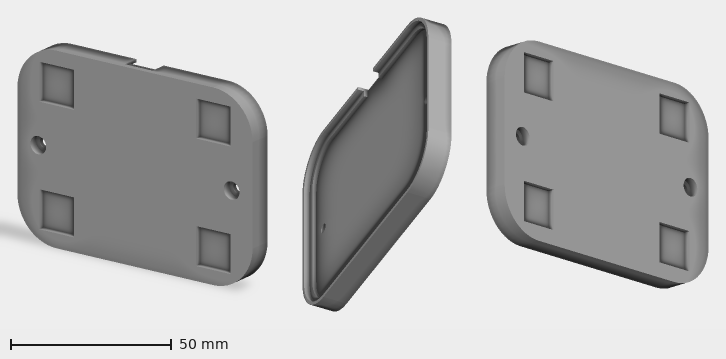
import cadquery as cq

width = 90.0
height = 65.0
thickness = 8.0
corner_radius = 15.0

rim_wall = 1.1
rim_floor_y = 6.0
inner_wall = 3.0
inner_floor_y = 4.7

notch_width = 10.5
notch_front_y = 2.0
notch_depth = 0.5

pocket_size = 13.1
pocket_depth = 2.2
pocket_spacing_x = 59.9
pocket_spacing_z = 41.9

hole_spacing = 74.0
hole_diameter = 3.2
counterbore_diameter = 6.0
counterbore_depth = 3.0


def rounded_block(inset, start_y):
    """Rounded rectangle inset from the plate outline, from start_y to the back."""
    return (
        cq.Workplane("XY")
        .box(width - 2 * inset, thickness - start_y, height - 2 * inset, centered=(True, False, True))
        .translate((0, start_y, 0))
        .edges("|Y")
        .fillet(corner_radius - inset)
    )


def notch(start_y, depth):
    """Cut through the top edge from start_y to the back."""
    return (
        cq.Workplane("XY")
        .box(notch_width, thickness - start_y, depth, centered=(True, False, False))
        .translate((0, start_y, height / 2 - depth))
    )


def front_plane():
    return cq.Workplane("XZ").workplane(invert=True)


plate = rounded_block(0, 0)
plate = plate.cut(rounded_block(inner_wall, inner_floor_y))
plate = plate.cut(rounded_block(rim_wall, rim_floor_y))

plate = plate.cut(notch(notch_front_y, notch_depth))
plate = plate.cut(notch(inner_floor_y, inner_wall))

pockets = (
    front_plane()
    .rarray(pocket_spacing_x, pocket_spacing_z, 2, 2)
    .rect(pocket_size, pocket_size)
    .extrude(pocket_depth)
)
plate = plate.cut(pockets)

hole_points = front_plane().rarray(hole_spacing, 0.9, 2, 1)
plate = plate.cut(hole_points.circle(hole_diameter / 2).extrude(thickness))
plate = plate.cut(hole_points.circle(counterbore_diameter / 2).extrude(counterbore_depth))

result = plate